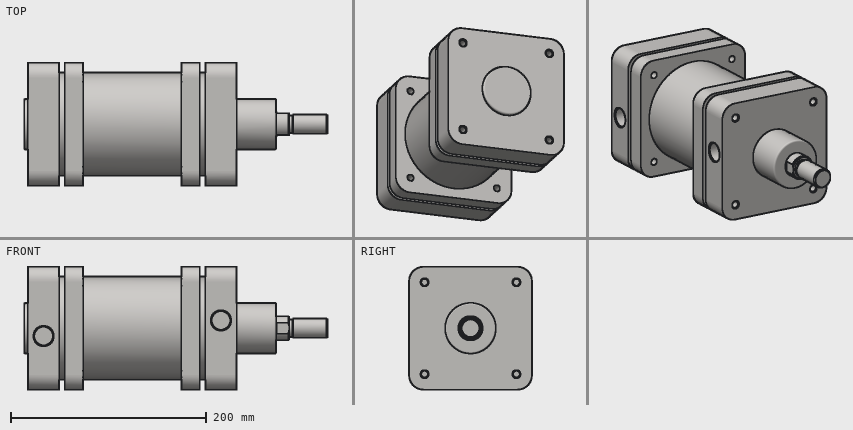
import cadquery as cq


plate_width = 126
corner_radius = 15
cap_thickness = 32
flange_thickness = 19
cap_flange_gap = 5.5
barrel_length = 149.5
barrel_diameter = 106

boss_diameter = 52
rear_boss_length = 4
front_boss_length = 40.5
boss_fillet = 1.8

screw_pitch = 94
screw_hole_diameter = 6.8
screw_chamfer_diameter = 8.5
screw_hole_depth = 18

port_diameter = 19
port_chamfer_diameter = 21
port_depth = 15
port_from_outer_face = 16
port_height = 8

rod_diameter = 25
rod_collar_length = 0.7
rod_flat_length = 12.5
rod_chamfer = 1
width_across_flats = 22.5
relief_diameter = 18
relief_length = 4.5
thread_diameter = 20
thread_length = 35.3
thread_chamfer = 1
thread_tip_length = 1.8

rear_cap_start = rear_boss_length
barrel_start = rear_cap_start + cap_thickness
barrel_end = barrel_start + barrel_length
front_cap_end = barrel_end + cap_thickness
rear_flange_start = barrel_start + cap_flange_gap
front_flange_start = barrel_end - cap_flange_gap - flange_thickness
front_boss_end = front_cap_end + front_boss_length
flats_start = front_boss_end + rod_collar_length
shoulder = flats_start + rod_flat_length
thread_start = shoulder + relief_length
rod_end = thread_start + thread_length


def plane_at(x):
    """YZ plane at x, with its normal toward +X."""
    return cq.Workplane("YZ", origin=(x, 0, 0))


def cylinder(x, diameter, length):
    return plane_at(x).circle(diameter / 2).extrude(length)


def revolve_about_x(points):
    """Solid of revolution from (x, radius) points."""
    return cq.Workplane("XY").polyline(points).close().revolve(360, (0, 0, 0), (1, 0, 0))


def square_plate(x, thickness):
    return plane_at(x).rect(plate_width, plate_width).extrude(thickness).edges("|X").fillet(corner_radius)


def chamfered_hole(start, direction, diameter, mouth_diameter, depth):
    """Cutter for a blind hole with a 45 degree chamfer at its mouth."""
    chamfer = (mouth_diameter - diameter) / 2
    bore = cq.Solid.makeCylinder(diameter / 2, depth, start, direction)
    mouth = cq.Solid.makeCone(mouth_diameter / 2, diameter / 2, chamfer, start, direction)
    return bore.fuse(mouth)


def add_cap_holes(cap, outer_face, inward, port_z):
    """Cut four screw holes in the outer face and one port in the -Y side; inward is +1 or -1 along X."""
    half_pitch = screw_pitch / 2
    for y in (-half_pitch, half_pitch):
        for z in (-half_pitch, half_pitch):
            cap = cap.cut(
                chamfered_hole(
                    cq.Vector(outer_face, y, z),
                    cq.Vector(inward, 0, 0),
                    screw_hole_diameter,
                    screw_chamfer_diameter,
                    screw_hole_depth,
                )
            )
    port = chamfered_hole(
        cq.Vector(outer_face + inward * port_from_outer_face, -plate_width / 2, port_z),
        cq.Vector(0, 1, 0),
        port_diameter,
        port_chamfer_diameter,
        port_depth,
    )
    return cap.cut(port)


def make_rear_cap():
    boss = cylinder(0, boss_diameter, rear_boss_length).faces("<X").edges().fillet(boss_fillet)
    cap = square_plate(rear_cap_start, cap_thickness).union(boss)
    return add_cap_holes(cap, rear_cap_start, 1, -port_height)


def make_front_cap():
    boss = cylinder(front_cap_end, boss_diameter, front_boss_length).faces(">X").edges().fillet(boss_fillet)
    cap = square_plate(barrel_end, cap_thickness).union(boss)
    rod_bore = cylinder(barrel_end, rod_diameter, front_boss_end - barrel_end)
    return add_cap_holes(cap.cut(rod_bore), front_cap_end, -1, port_height)


def make_flange(x):
    """Plate around the barrel with four through holes."""
    holes = (
        plane_at(x)
        .rect(screw_pitch, screw_pitch, forConstruction=True)
        .vertices()
        .circle(screw_hole_diameter / 2)
        .extrude(flange_thickness)
    )
    barrel_bore = cylinder(x, barrel_diameter, flange_thickness)
    return square_plate(x, flange_thickness).cut(barrel_bore).cut(holes)


def make_rod():
    """Rod from the barrel through the front cap, with wrench flats, a thread relief and a plain thread."""
    rod_radius = rod_diameter / 2
    relief_radius = relief_diameter / 2
    thread_radius = thread_diameter / 2
    rod = revolve_about_x(
        [
            (barrel_end, 0),
            (barrel_end, rod_radius),
            (shoulder - rod_chamfer, rod_radius),
            (shoulder, rod_radius - rod_chamfer),
            (shoulder, relief_radius),
            (thread_start - thread_chamfer, relief_radius),
            (thread_start, thread_radius),
            (rod_end - thread_tip_length, thread_radius),
            (rod_end, relief_radius),
            (rod_end, 0),
        ]
    )
    for side in (-1, 1):
        cutter_offset = side * (width_across_flats + rod_diameter) / 2
        flat_cutter = (
            plane_at(flats_start)
            .center(cutter_offset, 0)
            .rect(rod_diameter, rod_diameter)
            .extrude(rod_flat_length)
        )
        rod = rod.cut(flat_cutter)
    return rod


barrel = cylinder(barrel_start, barrel_diameter, barrel_length)
rear_cap = make_rear_cap()
front_cap = make_front_cap()
flanges = [make_flange(x) for x in (rear_flange_start, front_flange_start)]
rod = make_rod()

result = cq.Compound.makeCompound(
    [
        barrel.val(),
        rear_cap.val(),
        front_cap.val(),
        *[flange.val() for flange in flanges],
        rod.val(),
    ]
)